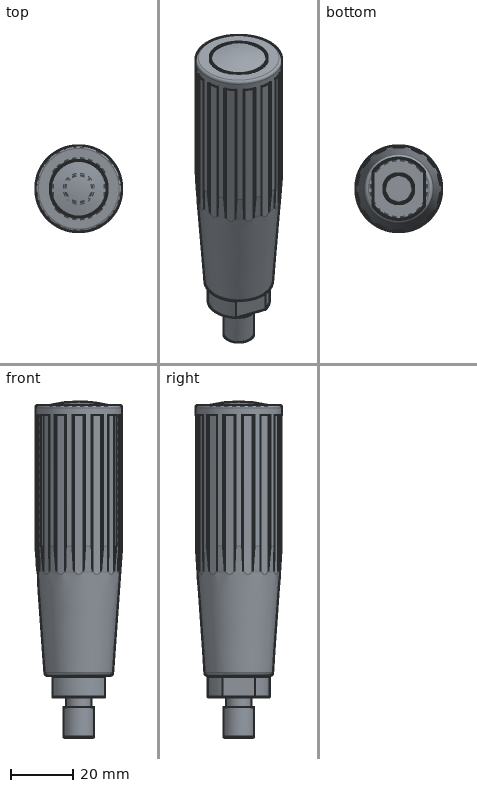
import cadquery as cq
import math

TOTAL_HEIGHT = 108.5

STUD_DIAMETER = 10.0
STUD_TIP_DIAMETER = 9.0
STUD_HEIGHT = 10.0
UNDERCUT_DIAMETER = 8.2

COLLAR_BOTTOM = 13.0
COLLAR_DIAMETER = 20.1
COLLAR_CHAMFER = 0.3
FLAT_SPACING = 17.0

GRIP_BOTTOM = 20.0
GRIP_LOW_DIAMETER = 22.0
GRIP_DIAMETER = 28.0
GRIP_BOTTOM_FILLET = 1.3
CONE_TOP = 61.8
GRIP_TOP = 107.4
GRIP_TOP_FILLET = 1.0

FLUTE_COUNT = 14
FLUTE_TOP = 104.2
FLUTE_DEPTH = 0.7
FLUTE_FLOOR_WIDTH = 3.1
FLUTE_MOUTH_WIDTH = 4.3

CAP_DIAMETER = 18.0
CAP_GAP = 0.3
CAP_GAP_DEPTH = 0.5


def cylinder(diameter, bottom, top):
    """Cylinder on the Z axis between two heights."""
    return cq.Workplane("XY").workplane(offset=bottom).circle(diameter / 2).extrude(top - bottom)


def make_stud():
    tip_chamfer = (STUD_DIAMETER - STUD_TIP_DIAMETER) / 2
    stud = cylinder(STUD_DIAMETER, 0, STUD_HEIGHT).faces("<Z").chamfer(tip_chamfer)
    return stud.union(cylinder(UNDERCUT_DIAMETER, 0, COLLAR_BOTTOM))


def make_collar():
    height = GRIP_BOTTOM - COLLAR_BOTTOM
    collar = cylinder(COLLAR_DIAMETER, COLLAR_BOTTOM, GRIP_BOTTOM)
    flats = (
        cq.Workplane("XY")
        .workplane(offset=COLLAR_BOTTOM)
        .rect(FLAT_SPACING, COLLAR_DIAMETER)
        .extrude(height)
    )
    return collar.intersect(flats).faces("<Z or >Z").edges().chamfer(COLLAR_CHAMFER)


def make_grip_body():
    profile = (
        cq.Workplane("XZ")
        .moveTo(0, GRIP_BOTTOM)
        .lineTo(GRIP_LOW_DIAMETER / 2, GRIP_BOTTOM)
        .lineTo(GRIP_DIAMETER / 2, CONE_TOP)
        .lineTo(GRIP_DIAMETER / 2, GRIP_TOP)
        .lineTo(0, GRIP_TOP)
        .close()
    )
    grip = profile.revolve(360, (0, 0, 0), (0, 1, 0))
    grip = grip.faces("<Z").edges().fillet(GRIP_BOTTOM_FILLET)
    return grip.faces(">Z").edges().fillet(GRIP_TOP_FILLET)


def make_flute_cutter():
    """Flat-floored trapezoidal bar facing -Y that runs out of the cone below."""
    floor_y = -(GRIP_DIAMETER / 2 - FLUTE_DEPTH)
    wall_slope = (FLUTE_MOUTH_WIDTH - FLUTE_FLOOR_WIDTH) / 2 / FLUTE_DEPTH
    reach = 2 * FLUTE_DEPTH
    outer_half_width = FLUTE_FLOOR_WIDTH / 2 + wall_slope * reach
    return (
        cq.Workplane("XY")
        .workplane(offset=GRIP_BOTTOM)
        .polyline([
            (-FLUTE_FLOOR_WIDTH / 2, floor_y),
            (FLUTE_FLOOR_WIDTH / 2, floor_y),
            (outer_half_width, floor_y - reach),
            (-outer_half_width, floor_y - reach),
        ])
        .close()
        .extrude(FLUTE_TOP - GRIP_BOTTOM)
    )


def cut_flutes(grip):
    cutter = make_flute_cutter()
    for index in range(FLUTE_COUNT):
        grip = grip.cut(cutter.rotate((0, 0, 0), (0, 0, 1), index * 360 / FLUTE_COUNT))
    return grip


def cut_cap_gap(grip):
    ring = (
        cq.Workplane("XY")
        .workplane(offset=GRIP_TOP)
        .circle(CAP_DIAMETER / 2 + CAP_GAP)
        .circle(CAP_DIAMETER / 2)
        .extrude(-CAP_GAP_DEPTH)
    )
    return grip.cut(ring)


def make_cap_dome():
    """Spherical cap rising from the grip top to the full height."""
    radius = CAP_DIAMETER / 2
    rise = TOTAL_HEIGHT - GRIP_TOP
    sphere_radius = (radius**2 + rise**2) / (2 * rise)
    half_angle = math.asin(radius / sphere_radius) / 2
    mid_x = sphere_radius * math.sin(half_angle)
    mid_z = TOTAL_HEIGHT - sphere_radius * (1 - math.cos(half_angle))
    return (
        cq.Workplane("XZ")
        .moveTo(0, GRIP_TOP)
        .lineTo(radius, GRIP_TOP)
        .threePointArc((mid_x, mid_z), (0, TOTAL_HEIGHT))
        .close()
        .revolve(360, (0, 0, 0), (0, 1, 0))
    )


grip = cut_cap_gap(cut_flutes(make_grip_body()))
result = make_stud().union(make_collar()).union(grip).union(make_cap_dome())